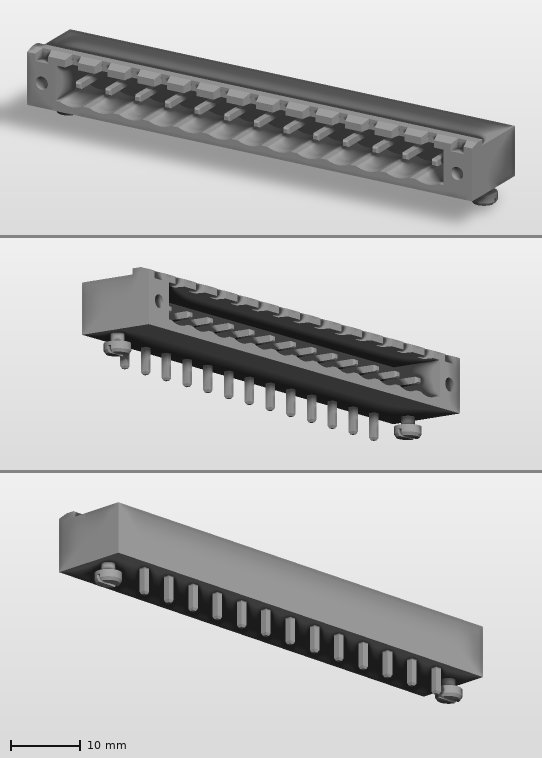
import cadquery as cq
import math

LENGTH = 75.0
DEPTH = 12.0
HEIGHT = 8.6
SHELF_HEIGHT = 7.7
RIDGE_DEPTH = 2.9
RIDGE_SLOPE_RUN = 1.5
RIDGE_SLOPE_DROP = 0.45

PIN_COUNT = 13
PITCH = LENGTH / (PIN_COUNT + 2)
PIN_XS = [(i - (PIN_COUNT - 1) / 2) * PITCH for i in range(PIN_COUNT)]
FLANGE_X = (PIN_COUNT + 1) / 2 * PITCH
FLANGE_XS = [-FLANGE_X, FLANGE_X]
AXIS_Z = 3.8

CAVITY_LENGTH = 65.3
CAVITY_DEPTH = 8.25
CAVITY_FLOOR = 1.6
CAVITY_TOP = 7.05
SCALLOP_WIDTH = 3.9
SCALLOP_DEPTH = 0.45

NOTCH_FRONT_WIDTH = 2.2
NOTCH_BACK_WIDTH = 1.5
NOTCH_DEPTH = RIDGE_SLOPE_RUN

PIN_SIZE = 1.0
PIN_TIP_SIZE = 0.6
PIN_TIP_LENGTH = 0.4
PIN_LEG_Y = 9.9
PIN_LEG_DROP = 4.0
PIN_FRONT_Y = 1.7

THREAD_DIAMETER = 2.0
THREAD_DEPTH = 6.0
SCREW_Y = 7.5
HEAD_DIAMETER = 4.0
HEAD_TOP = -1.4
HEAD_HEIGHT = 1.6
HEAD_CHAMFER_HEIGHT = 0.45
HEAD_CHAMFER_INSET = 0.3
SLOT_WIDTH = 0.6
SLOT_DEPTH = 1.0


def make_housing():
    """Side profile with the raised, sloped front ridge, extruded along X."""
    profile = [
        (0, 0),
        (DEPTH, 0),
        (DEPTH, SHELF_HEIGHT),
        (RIDGE_DEPTH, SHELF_HEIGHT),
        (RIDGE_DEPTH, HEIGHT),
        (RIDGE_SLOPE_RUN, HEIGHT),
        (0, HEIGHT - RIDGE_SLOPE_DROP),
    ]
    return cq.Workplane("YZ").polyline(profile).close().extrude(LENGTH / 2, both=True)


def make_cavity():
    """Rectangular pocket plus an arc-shaped trough below each pin."""
    cavity = (
        cq.Workplane("XY")
        .box(CAVITY_LENGTH, CAVITY_DEPTH, CAVITY_TOP - CAVITY_FLOOR, centered=(True, False, False))
        .translate((0, 0, CAVITY_FLOOR))
    )
    half = SCALLOP_WIDTH / 2
    scallop = (
        cq.Workplane("XZ")
        .moveTo(-half, CAVITY_FLOOR)
        .threePointArc((0, CAVITY_FLOOR - SCALLOP_DEPTH), (half, CAVITY_FLOOR))
        .lineTo(half, AXIS_Z)
        .lineTo(-half, AXIS_Z)
        .close()
        .extrude(-CAVITY_DEPTH)
    )
    for x in PIN_XS:
        cavity = cavity.union(scallop.translate((x, 0, 0)))
    return cavity


def make_notch():
    """Vertical trapezoidal notch from the cavity roof up through the ridge."""
    plan = [
        (-NOTCH_FRONT_WIDTH / 2, 0),
        (NOTCH_FRONT_WIDTH / 2, 0),
        (NOTCH_BACK_WIDTH / 2, NOTCH_DEPTH),
        (-NOTCH_BACK_WIDTH / 2, NOTCH_DEPTH),
    ]
    return (
        cq.Workplane("XY", origin=(0, 0, CAVITY_TOP))
        .polyline(plan)
        .close()
        .extrude(HEIGHT - CAVITY_TOP)
    )


def make_bar(start, direction, length):
    """Square bar from start along direction, tapering over its last stretch."""
    plane = cq.Plane(origin=start, xDir=(1, 0, 0), normal=direction)
    taper = math.degrees(math.atan2((PIN_SIZE - PIN_TIP_SIZE) / 2, PIN_TIP_LENGTH))
    straight = length - PIN_TIP_LENGTH
    shank = cq.Workplane(plane).rect(PIN_SIZE, PIN_SIZE).extrude(straight)
    tip = (
        cq.Workplane(plane)
        .workplane(offset=straight)
        .rect(PIN_SIZE, PIN_SIZE)
        .extrude(PIN_TIP_LENGTH, taper=taper)
    )
    return shank.union(tip)


def make_pin():
    """Contact arm toward the front and solder leg downward, meeting at the bend."""
    bend_y = PIN_LEG_Y + PIN_SIZE / 2
    bend_z = AXIS_Z + PIN_SIZE / 2
    arm = make_bar((0, bend_y, AXIS_Z), (0, -1, 0), bend_y - PIN_FRONT_Y)
    leg = make_bar((0, PIN_LEG_Y, bend_z), (0, 0, -1), bend_z + PIN_LEG_DROP)
    return arm.union(leg)


def make_screw():
    """Revolved shank and chamfered head with a driver slot along X."""
    head_radius = HEAD_DIAMETER / 2
    shank_radius = THREAD_DIAMETER / 2
    head_bottom = HEAD_TOP - HEAD_HEIGHT
    shank_top = CAVITY_FLOOR
    profile = [
        (0, shank_top),
        (shank_radius, shank_top),
        (shank_radius, HEAD_TOP),
        (head_radius, HEAD_TOP),
        (head_radius, head_bottom + HEAD_CHAMFER_HEIGHT),
        (head_radius - HEAD_CHAMFER_INSET, head_bottom),
        (0, head_bottom),
    ]
    screw = cq.Workplane("XZ").polyline(profile).close().revolve(360, (0, 0), (0, 1))
    slot = (
        cq.Workplane("XY")
        .box(HEAD_DIAMETER, SLOT_WIDTH, SLOT_DEPTH, centered=(True, True, False))
        .translate((0, 0, head_bottom))
    )
    return screw.cut(slot)


def make_thread_hole():
    """Blind round hole running back from the front face."""
    return (
        cq.Workplane("XZ", origin=(0, 0, AXIS_Z))
        .circle(THREAD_DIAMETER / 2)
        .extrude(-THREAD_DEPTH)
    )


connector = make_housing().cut(make_cavity())

notch = make_notch()
for x in PIN_XS + FLANGE_XS:
    connector = connector.cut(notch.translate((x, 0, 0)))

thread_hole = make_thread_hole()
screw = make_screw()
for x in FLANGE_XS:
    connector = connector.cut(thread_hole.translate((x, 0, 0)))
    connector = connector.union(screw.translate((x, SCREW_Y, 0)))

pin = make_pin()
for x in PIN_XS:
    connector = connector.union(pin.translate((x, 0, 0)))

result = connector